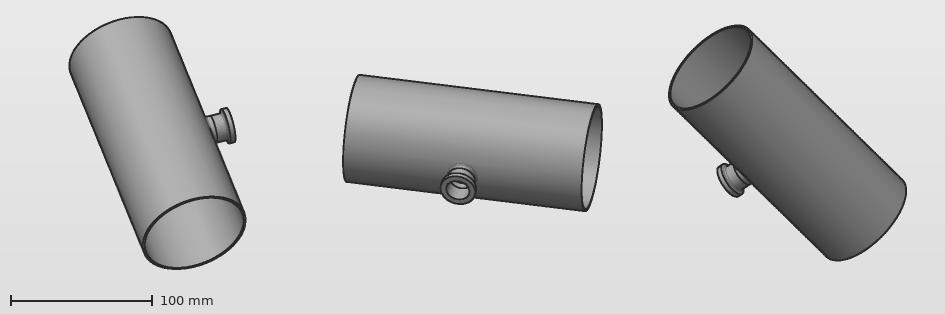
import cadquery as cq

PIPE_LENGTH = 171.4
PIPE_DIAMETER = 76.3
WALL = 1.5
PIPE_RADIUS = PIPE_DIAMETER / 2
PIPE_BORE_RADIUS = PIPE_RADIUS - WALL

OVERALL_DEPTH = 92.0
FACE_Y = OVERALL_DEPTH - PIPE_RADIUS
NECK_DIAMETER = 19.7
NECK_RADIUS = NECK_DIAMETER / 2
BRANCH_BORE_RADIUS = NECK_RADIUS - WALL
COLLAR_FILLET = 0.9

FERRULE_LENGTH = 12.7
FLANGE_DIAMETER = 25.0
FLANGE_RADIUS = FLANGE_DIAMETER / 2
RIM_WIDTH = 3.8
TAPER_LENGTH = 0.9
NECK_FILLET = 1.0
JOINT_Y = FACE_Y - FERRULE_LENGTH


def rod_along_x(radius):
    """Cylinder as long as the pipe, on the pipe axis."""
    return cq.Workplane("YZ").circle(radius).extrude(PIPE_LENGTH / 2, both=True)


def rod_to_joint(radius):
    """Cylinder on the branch axis, from the pipe axis to the joint."""
    return cq.Workplane("XZ").circle(radius).extrude(-JOINT_Y)


def make_pipe():
    """Pipe with a short drawn collar that opens into its bore."""
    pipe = rod_along_x(PIPE_RADIUS).union(rod_to_joint(NECK_RADIUS))
    root = pipe.edges("%BSPLINE or %OTHER")
    pipe = root.fillet(COLLAR_FILLET)
    return pipe.cut(rod_along_x(PIPE_BORE_RADIUS)).cut(rod_to_joint(BRANCH_BORE_RADIUS))


def make_ferrule():
    """Turned ring with a clamp rim, a tapered back and a plain neck."""
    rim_back_y = FACE_Y - RIM_WIDTH
    taper_end_y = rim_back_y - TAPER_LENGTH
    ferrule = (
        cq.Workplane("XY")
        .moveTo(BRANCH_BORE_RADIUS, JOINT_Y)
        .lineTo(NECK_RADIUS, JOINT_Y)
        .lineTo(NECK_RADIUS, taper_end_y)
        .lineTo(FLANGE_RADIUS, rim_back_y)
        .lineTo(FLANGE_RADIUS, FACE_Y)
        .lineTo(BRANCH_BORE_RADIUS, FACE_Y)
        .close()
        .revolve(360, (0, 0, 0), (0, 1, 0))
    )
    inner_corner = cq.selectors.RadiusNthSelector(1)
    neck_corner = ferrule.edges("%CIRCLE").edges(inner_corner).edges(">Y")
    return neck_corner.fillet(NECK_FILLET)


pipe = make_pipe()
ferrule = make_ferrule()

result = cq.Compound.makeCompound([pipe.val(), ferrule.val()])